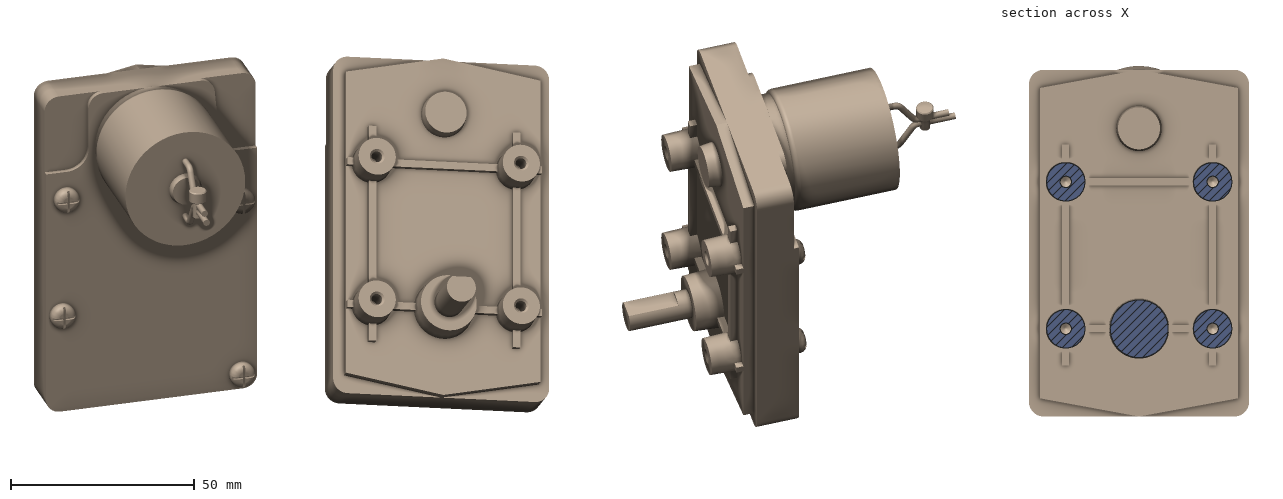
import cadquery as cq
import math


overall_height = 95.5
housing_width = 60.0
housing_height = 94.45
corner_radius = 4.0
cover_thickness = 3.1
cover_width = 54.1
cover_slope_rise = 5.0
body_thickness = 10.4
lid_thickness = 1.4

motor_axis_z = 54.5
motor_diameter = 34.0
motor_length = 29.4
motor_edge_radius = 1.5
neck_length = 2.9
neck_diameter = 32.1
rear_boss_base_diameter = 9.2
rear_boss_length = 1.6
rear_boss_tip_diameter = 8.0

shoulder_z = 48.1
upright_side_y = -17.9
leaning_base_y = 19.7
leaning_top_y = 17.6
upright_root_radius = 6.2
leaning_root_radius = 5.35

shaft_diameter = 8.0
shaft_tip_x = -25.5
flat_end_x = -11.5
flat_height = 3.1

mount_spacing = 40.0
mount_height = 8.4
mount_base_diameter = 10.9
mount_tip_diameter = 10.3
hole_diameter = 3.0
hole_chamfer = 0.6
hole_tip_angle = 118
shaft_boss_height = 7.8
shaft_boss_base_diameter = 16.4
shaft_boss_tip_diameter = 15.5
idler_boss_height = 3.6
idler_boss_base_diameter = 12.4
idler_boss_tip_diameter = 11.5
rib_width = 2.0
rib_height = 2.0
rib_overhang = 10.1

screw_places = [(-24.4, 40.0), (25.5, 32.9), (-25.5, 5.2), (25.5, -19.4)]
screw_diameter = 7.1
screw_head_height = 2.9
screw_dome_radius = 1.9
screw_slot_width = 0.7
screw_slot_depth = 0.9

lead_diameter = 1.8
lead_start_offset = 8.2
lead_end_offset = 1
lead_bend_radius = 2.1
first_bend_x = 51.6
second_bend_x = 56.2
upper_lead_end_x = 65.8
lower_lead_end_x = 67.6
pin_x = 59.1
pin_diameter = 2.9
pin_drop = 2.9
pin_head_diameter = 4.8
pin_head_base = 1.7
pin_head_height = 3.3
pin_head_chamfer = 0.3

housing_bottom = motor_axis_z + motor_diameter / 2 - overall_height
housing_top = housing_bottom + housing_height
housing_center_z = (housing_bottom + housing_top) / 2
body_back_x = cover_thickness + body_thickness
lid_back_x = body_back_x + lid_thickness
motor_front_x = lid_back_x + neck_length
motor_back_x = motor_front_x + motor_length
mount_places = [(y, z) for y in (-mount_spacing / 2, mount_spacing / 2) for z in (0, mount_spacing)]


def plane_at(x):
    """Sketch plane facing +X, with local axes Y and Z."""
    return cq.Workplane("YZ", origin=(x, 0, 0))


def disc(x, y, z, diameter, length):
    """Cylinder along +X."""
    return plane_at(x).center(y, z).circle(diameter / 2).extrude(length)


def draft_angle(base_diameter, tip_diameter, height):
    """Angle in degrees between the side of a cone frustum and its axis."""
    return math.degrees(math.atan((base_diameter - tip_diameter) / 2 / height))


def drafted_boss(y, z, base_diameter, tip_diameter, height):
    """Cone frustum standing on the cover face, rooted to the back of the cover."""
    draft = draft_angle(base_diameter, tip_diameter, height)
    root = disc(0, y, z, base_diameter, cover_thickness)
    cone = cq.Workplane("YZ").center(y, z).circle(base_diameter / 2).extrude(-height, taper=draft)
    return root.union(cone)


def make_housing():
    body = (
        plane_at(cover_thickness)
        .center(0, housing_center_z)
        .rect(housing_width, housing_height)
        .extrude(body_thickness)
        .edges("|X")
        .fillet(corner_radius)
    )
    half_cover = cover_width / 2
    low_corner_z = housing_bottom + cover_slope_rise
    high_corner_z = housing_top - cover_slope_rise
    cover = (
        plane_at(0)
        .moveTo(0, housing_bottom)
        .lineTo(half_cover, low_corner_z)
        .lineTo(half_cover, high_corner_z)
        .lineTo(0, housing_top)
        .lineTo(-half_cover, high_corner_z)
        .lineTo(-half_cover, low_corner_z)
        .close()
        .extrude(cover_thickness)
    )
    return body.union(cover)


def make_lid():
    half_width = housing_width / 2
    lid = (
        plane_at(body_back_x)
        .polyline([
            (-half_width, housing_bottom),
            (half_width, housing_bottom),
            (half_width, shoulder_z),
            (leaning_base_y, shoulder_z),
            (leaning_top_y, housing_top),
            (upright_side_y, housing_top),
            (upright_side_y, shoulder_z),
            (-half_width, shoulder_z),
        ])
        .close()
        .extrude(lid_thickness)
    )
    middle_x = body_back_x + lid_thickness / 2
    for root_y, radius in ((upright_side_y, upright_root_radius), (leaning_base_y, leaning_root_radius)):
        root_edge = cq.selectors.NearestToPointSelector((middle_x, root_y, shoulder_z))
        lid = lid.edges("|X").edges(root_edge).fillet(radius)
    lid = lid.faces(">Z").edges("|X").fillet(corner_radius)
    return lid.faces("<Z").edges("|X").fillet(corner_radius)


def make_cover_details():
    details = drafted_boss(0, 0, shaft_boss_base_diameter, shaft_boss_tip_diameter, shaft_boss_height)
    details = details.union(
        drafted_boss(0, motor_axis_z, idler_boss_base_diameter, idler_boss_tip_diameter, idler_boss_height)
    )
    for z in (0, mount_spacing):
        details = details.union(plane_at(0).center(0, z).rect(cover_width, rib_width).extrude(-rib_height))
    rib_length = mount_spacing + 2 * rib_overhang
    for y in (-mount_spacing / 2, mount_spacing / 2):
        rib = plane_at(0).center(y, mount_spacing / 2).rect(rib_width, rib_length).extrude(-rib_height)
        details = details.union(rib)
    for y, z in mount_places:
        details = details.union(drafted_boss(y, z, mount_base_diameter, mount_tip_diameter, mount_height))
    return details


def make_mount_hole(y, z):
    """Chamfered drilled hole whose full-diameter part is as deep as the boss is tall."""
    hole_radius = hole_diameter / 2
    tip_depth = hole_radius / math.tan(math.radians(hole_tip_angle / 2))
    half_profile = (
        cq.Workplane("XY", origin=(0, y, z))
        .moveTo(-mount_height, 0)
        .lineTo(-mount_height, hole_radius + hole_chamfer)
        .lineTo(-mount_height + hole_chamfer, hole_radius)
        .lineTo(0, hole_radius)
        .lineTo(tip_depth, 0)
        .close()
    )
    return half_profile.revolve(360, (0, 0, 0), (1, 0, 0))


def make_shaft():
    shaft = disc(shaft_tip_x, 0, 0, shaft_diameter, -shaft_tip_x)
    flat_length = flat_end_x - shaft_tip_x
    above_flat = cq.Workplane("XY", origin=(shaft_tip_x, 0, flat_height)).box(
        flat_length, shaft_diameter, shaft_diameter, centered=(False, True, False)
    )
    return shaft.cut(above_flat)


def make_motor():
    neck = disc(lid_back_x, 0, motor_axis_z, neck_diameter, neck_length)
    can = disc(motor_front_x, 0, motor_axis_z, motor_diameter, motor_length)
    can = can.faces("<X").edges().fillet(motor_edge_radius)
    rear_boss_rim = plane_at(motor_back_x).center(0, motor_axis_z).circle(rear_boss_base_diameter / 2)
    rear_boss_draft = draft_angle(rear_boss_base_diameter, rear_boss_tip_diameter, rear_boss_length)
    rear_boss = rear_boss_rim.extrude(rear_boss_length, taper=rear_boss_draft)
    return neck.union(can).union(rear_boss)


def make_screw(y, z):
    """Pan head with a rounded rim and crossed slots."""
    head = disc(lid_back_x, y, z, screw_diameter, screw_head_height)
    head = head.faces(">X").edges().fillet(screw_dome_radius)
    slot_start = plane_at(lid_back_x + screw_head_height).center(y, z)
    for slot_size in ((screw_diameter, screw_slot_width), (screw_slot_width, screw_diameter)):
        head = head.cut(slot_start.rect(*slot_size).extrude(-screw_slot_depth))
    return head


def make_lead(side, end_x):
    """Round wire with two bends; side is 1 above the motor axis and -1 below it."""
    slope = math.atan2(lead_start_offset - lead_end_offset, second_bend_x - first_bend_x)
    tangent = lead_bend_radius * math.tan(slope / 2)
    run = tangent * math.cos(slope)
    drop = tangent * math.sin(slope)
    start_z = motor_axis_z + side * lead_start_offset
    end_z = motor_axis_z + side * lead_end_offset
    path = (
        cq.Workplane("XZ")
        .moveTo(motor_back_x, start_z)
        .lineTo(first_bend_x - tangent, start_z)
        .tangentArcPoint((first_bend_x + run, start_z - side * drop), relative=False)
        .lineTo(second_bend_x - run, end_z + side * drop)
        .tangentArcPoint((second_bend_x + tangent, end_z), relative=False)
        .lineTo(end_x, end_z)
    )
    return plane_at(motor_back_x).center(0, start_z).circle(lead_diameter / 2).sweep(path)


def make_pin():
    head_z = motor_axis_z + pin_head_base
    stem = (
        cq.Workplane("XY", origin=(pin_x, 0, motor_axis_z - pin_drop))
        .circle(pin_diameter / 2)
        .extrude(pin_drop + pin_head_base)
    )
    head_base = cq.Workplane("XY", origin=(pin_x, 0, head_z))
    head = head_base.circle(pin_head_diameter / 2).extrude(pin_head_height)
    return stem.union(head.faces("|Z").chamfer(pin_head_chamfer))


result = make_housing().union(make_lid()).union(make_cover_details()).union(make_shaft()).union(make_motor())
for y, z in screw_places:
    result = result.union(make_screw(y, z))
result = result.union(make_pin())
result = result.union(make_lead(1, upper_lead_end_x)).union(make_lead(-1, lower_lead_end_x))
for y, z in mount_places:
    result = result.cut(make_mount_hole(y, z))